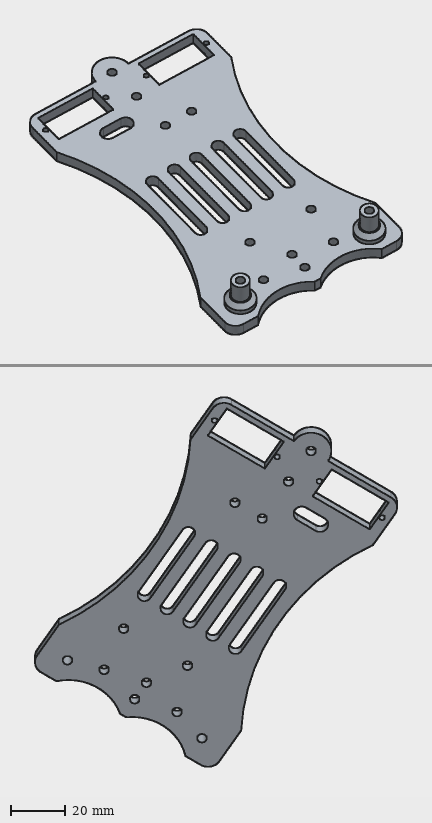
import cadquery as cq
import math


plate_thickness = 5.0
plate_length = 130.0
half_width = 40.0
corner_radius = 5.0
tab_radius = 7.5
waist_start_x = 20.0
waist_end_x = 110.0
waist_radius = 90.0

scallop_radius = 20.0
scallop_offset_y = 14.0
scallop_depth = 6.0
nose_x = 128.5

standoff_x = 120.55
standoff_offset_y = 29.5
flange_diameter = 12.0
flange_height = 2.0
cone_top_diameter = 8.0
cone_height = 2.0
post_diameter = 7.0
post_height = 8.0

hole_diameter = 3.5
row_offset_y = 0.25
row_pitch_y = 12.0
hole_step_x = 4.0
tab_side_hole_points = [
    (15.0, row_offset_y),
    (33.0, row_offset_y),
    (33.0, row_offset_y + row_pitch_y),
]
standoff_side_hole_points = [
    (98.5, 19.0),
    (98.5, -9.0),
    (standoff_x - hole_step_x, 16.0),
    (standoff_x - hole_step_x, -16.0),
    (standoff_x - 2 * hole_step_x, 0.0),
]
centre_hole_points = [(0.0, 0.0), (standoff_x, 0.0)]

window_size_x = 13.0
window_size_y = 25.0
window_center_x = 8.75
window_offset_y = 23.0
screw_diameter = 2.0
screw_spacing = 27.5

vent_length = 35.0
vent_width = 5.0
vent_center_x = 67.75
vent_pitch = 10.0
vent_count = 5
cable_slot_length = 14.0
cable_slot_width = 6.0
cable_slot_center = (23.5, -15.0)


def plate_cutter(sketch):
    """Extrude a sketch on Z = 0 into a cutting tool as tall as the plate."""
    return sketch.extrude(plate_thickness)


def make_plate():
    """Plate with rounded corners, waisted sides, a round tab and a scalloped +X edge."""
    body = (
        cq.Workplane("XY")
        .rect(plate_length, 2 * half_width)
        .extrude(plate_thickness)
        .edges("|Z")
        .fillet(corner_radius)
        .translate((plate_length / 2, 0, 0))
    )
    tab = cq.Workplane("XY").circle(tab_radius).extrude(plate_thickness)

    waist_half_length = (waist_end_x - waist_start_x) / 2
    waist_center_x = (waist_start_x + waist_end_x) / 2
    waist_center_y = half_width + math.sqrt(waist_radius**2 - waist_half_length**2)
    waists = plate_cutter(
        cq.Workplane("XY")
        .pushPoints([(waist_center_x, waist_center_y), (waist_center_x, -waist_center_y)])
        .circle(waist_radius)
    )

    scallop_center_x = plate_length - scallop_depth + scallop_radius
    scallops = plate_cutter(
        cq.Workplane("XY")
        .pushPoints([(scallop_center_x, scallop_offset_y), (scallop_center_x, -scallop_offset_y)])
        .circle(scallop_radius)
    )
    nose_trim = plate_cutter(
        cq.Workplane("XY")
        .center((nose_x + plate_length) / 2, 0)
        .rect(plate_length - nose_x, 2 * scallop_offset_y)
    )
    return body.union(tab).cut(waists).cut(scallops).cut(nose_trim)


def make_standoff(center_y):
    """Solid standoff on the plate top; its bore is cut later, together with the plate."""
    flange_radius = flange_diameter / 2
    cone_top_radius = cone_top_diameter / 2
    post_radius = post_diameter / 2
    flange_top = plate_thickness + flange_height
    cone_top = flange_top + cone_height
    post_top = cone_top + post_height
    profile = (
        cq.Workplane("XZ")
        .moveTo(0, plate_thickness)
        .lineTo(flange_radius, plate_thickness)
        .lineTo(flange_radius, flange_top)
        .lineTo(cone_top_radius, cone_top)
        .lineTo(post_radius, cone_top)
        .lineTo(post_radius, post_top)
        .lineTo(0, post_top)
        .close()
    )
    return profile.revolve(360, (0, 0, 0), (0, 1, 0)).translate((standoff_x, center_y, 0))


def cut_windows(part):
    """Cut the two servo windows and their screw holes."""
    for center_y in (window_offset_y, -window_offset_y):
        window = plate_cutter(
            cq.Workplane("XY")
            .center(window_center_x, center_y)
            .rect(window_size_x, window_size_y)
        )
        screws = plate_cutter(
            cq.Workplane("XY")
            .center(window_center_x, center_y)
            .rarray(1, screw_spacing, 1, 2)
            .circle(screw_diameter / 2)
        )
        part = part.cut(window).cut(screws)
    return part


def cut_slots(part):
    """Cut the row of vent slots along X and the single cable slot along Y."""
    vents = plate_cutter(
        cq.Workplane("XY")
        .center(vent_center_x, 0)
        .rarray(1, vent_pitch, 1, vent_count)
        .slot2D(vent_length, vent_width)
    )
    cable_slot = plate_cutter(
        cq.Workplane("XY").center(*cable_slot_center).slot2D(cable_slot_length, cable_slot_width, 90)
    )
    return part.cut(vents).cut(cable_slot)


def cut_round_holes(part):
    """Cut the plate holes and the standoff bores, all of one diameter and right through."""
    standoff_points = [(standoff_x, standoff_offset_y), (standoff_x, -standoff_offset_y)]
    total_height = plate_thickness + flange_height + cone_height + post_height
    plate_points = tab_side_hole_points + standoff_side_hole_points + centre_hole_points
    holes = (
        cq.Workplane("XY")
        .pushPoints(plate_points + standoff_points)
        .circle(hole_diameter / 2)
        .extrude(total_height)
    )
    return part.cut(holes)


part = make_plate()
for standoff_y in (standoff_offset_y, -standoff_offset_y):
    part = part.union(make_standoff(standoff_y))
part = cut_windows(part)
part = cut_slots(part)
result = cut_round_holes(part)